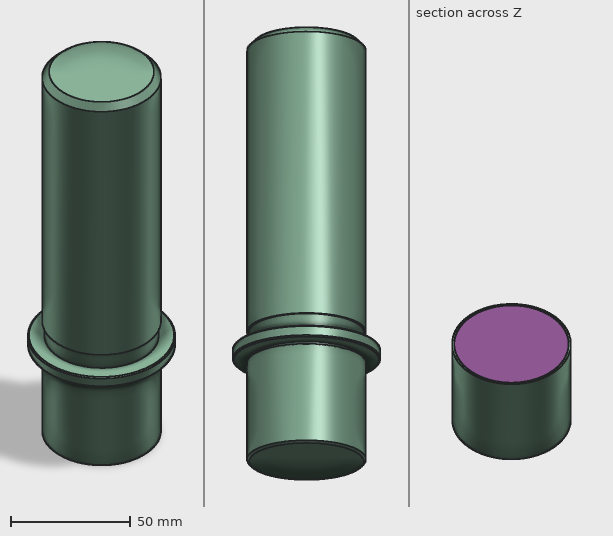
import cadquery as cq

total_length = 185.0
shaft_diameter = 50.0

collar_diameter = 62.0
collar_bottom = 45.0
collar_thickness = 5.0
collar_edge_chamfer = 0.5

upper_neck_diameter = 48.1
upper_neck_length = 7.4
lower_groove_diameter = 48.1
lower_groove_width = 1.3

tip_chamfer = 3.0
foot_chamfer = 1.0

collar_top = collar_bottom + collar_thickness


def cylinder(diameter, bottom, top):
    """Solid cylinder on the Z axis between two heights."""
    return cq.Workplane("XY").workplane(offset=bottom).circle(diameter / 2).extrude(top - bottom)


shank = cylinder(shaft_diameter, 0, collar_bottom - lower_groove_width)
shank = shank.faces("<Z").chamfer(foot_chamfer)

groove_core = cylinder(lower_groove_diameter, collar_bottom - lower_groove_width, collar_bottom)

collar = cylinder(collar_diameter, collar_bottom, collar_top).edges().chamfer(collar_edge_chamfer)

neck = cylinder(upper_neck_diameter, collar_top, collar_top + upper_neck_length)

shaft = cylinder(shaft_diameter, collar_top + upper_neck_length, total_length)
shaft = shaft.faces(">Z").chamfer(tip_chamfer)

result = shank.union(groove_core).union(collar).union(neck).union(shaft)